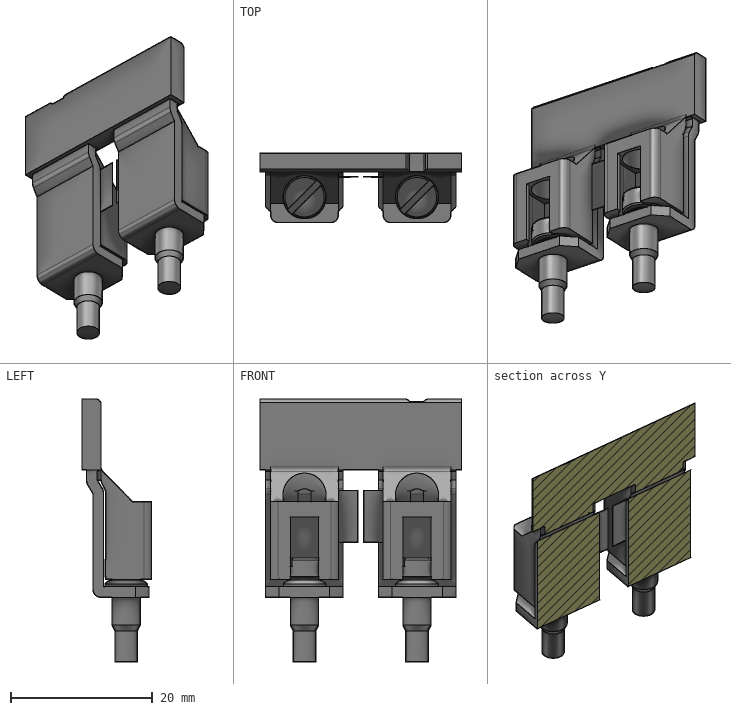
import cadquery as cq
import math


bar_width = 28.5
bar_thickness = 2.7
bar_top = 37.1
bar_bottom = 27.1
bar_chamfer = 0.5
notch_center = 7.9
notch_floor_width = 2.0
notch_depth = 0.37
notch_shoulder_drop = 0.1
notch_shoulder_run = 0.25

terminal_center = 7.95
bore_y = -6.25

bracket_center = 7.98
bracket_width = 11.0
bracket_thickness = 1.52
bracket_upper_y = -0.63
bracket_jog = 0.93
bracket_front_jog_top = 25.67
bracket_front_jog_bottom = 24.1
bracket_bottom = 9.1
bracket_front = -9.5
bracket_corner_chamfer = 1.93
bracket_heel_radius = 1.1
bracket_jog_radius = 1.5
bracket_root = 0.75
bracket_shoulder_reach = 0.37
bracket_shoulder_drop = 0.22
foot_top = bracket_bottom + bracket_thickness

housing_width = 9.57
housing_front = -9.85
housing_back = -3.35
housing_bottom = 11.6
housing_flat_top = 22.6
housing_slope_foot_y = -7.15
housing_slope_top = 27.12
housing_jog_top = 25.4
housing_jog_bottom = 24.08
housing_edge_radius = 1.08
slope_fillet_reach = 0.37
bore_radius = 3.05
chamber_radius = 3.55
window_width = 4.0
window_top = 20.4
web_bottom = 25.6
web_back_width = 6.68

tab_tip_gap = 0.4
tab_bottom = 16.85
tab_top = 24.2
tab_root_thickness = 0.15
tab_tip_thickness = 0.05

tip_radius = 1.6
shank_radius = 2.0
tip_length = 4.38
shank_start = 5.15
flange_radius = 3.0
flange_rim_top = 11.0
flange_shoulder_radius = 2.6
flange_shoulder_z = 11.35
flange_top = 11.55
head_radius = 3.0
head_bottom = 11.8
head_top = 14.6
head_chamfer = 0.22
driver_slot_width = 0.93
driver_slot_depth = 1.2
driver_slot_angle = 45


def box_between(x_min, x_max, y_min, y_max, z_min, z_max):
    size = (x_max - x_min, y_max - y_min, z_max - z_min)
    return cq.Workplane("XY").box(*size, centered=False).translate((x_min, y_min, z_min))


def side_profile(width, center):
    """Workplane whose local axes are Y and Z, extruding along X over the given width."""
    return cq.Workplane("YZ", origin=(center - width / 2, 0, 0))


def make_bar():
    bar = box_between(-bar_width / 2, bar_width / 2, -bar_thickness, 0, bar_bottom, bar_top)
    bar = bar.edges("<Y and >Z").chamfer(bar_chamfer)

    floor_half = notch_floor_width / 2
    notch_floor = bar_top - notch_depth
    shoulder_half = floor_half + notch_depth - notch_shoulder_drop
    shoulder_z = bar_top - notch_shoulder_drop
    mouth_half = shoulder_half + notch_shoulder_run
    notch = (
        cq.Workplane("XZ", origin=(notch_center, 0, 0))
        .polyline([
            (-mouth_half, bar_top),
            (-shoulder_half, shoulder_z),
            (-floor_half, notch_floor),
            (floor_half, notch_floor),
            (shoulder_half, shoulder_z),
            (mouth_half, bar_top),
        ])
        .close()
        .extrude(bar_thickness)
    )
    return bar.cut(notch)


def make_bracket():
    lower_y = bracket_upper_y - bracket_jog
    jog_angle = math.atan2(bracket_jog, bracket_front_jog_top - bracket_front_jog_bottom)
    back_drop = bracket_thickness * math.tan(jog_angle / 2)
    back_jog_top = bracket_front_jog_top - back_drop
    back_jog_bottom = bracket_front_jog_bottom - back_drop
    top = bar_bottom + bracket_root
    upper_front_y = bracket_upper_y - bracket_thickness
    shoulder_y = upper_front_y - bracket_shoulder_reach
    lower_front_y = lower_y - bracket_thickness
    bracket = (
        side_profile(bracket_width, bracket_center)
        .polyline([
            (bracket_upper_y, top),
            (bracket_upper_y, back_jog_top),
            (lower_y, back_jog_bottom),
            (lower_y, bracket_bottom),
            (bracket_front, bracket_bottom),
            (bracket_front, foot_top),
            (lower_front_y, foot_top),
            (lower_front_y, bracket_front_jog_bottom),
            (upper_front_y, bracket_front_jog_top),
            (upper_front_y, bar_bottom - bracket_shoulder_drop),
            (shoulder_y, bar_bottom),
            (shoulder_y, top),
        ])
        .close()
        .extrude(bracket_width)
    )
    bracket = bracket.edges("|Z and <Y").chamfer(bracket_corner_chamfer)

    def bend_edge(y, z):
        return cq.selectors.NearestToPointSelector((bracket_center, y, z))

    bracket = bracket.edges("|X").edges(bend_edge(lower_y, bracket_bottom)).fillet(bracket_heel_radius)
    front_bend = bend_edge(lower_front_y, bracket_front_jog_bottom)
    bracket = bracket.edges("|X").edges(front_bend).fillet(bracket_jog_radius)
    back_bend = bend_edge(bracket_upper_y, back_jog_top)
    return bracket.edges("|X").edges(back_bend).fillet(bracket_jog_radius)


def make_housing():
    slope_run = -bar_thickness - housing_slope_foot_y
    slope_angle = math.atan2(housing_slope_top - housing_flat_top, slope_run)
    fillet_start = (
        -bar_thickness - slope_fillet_reach * math.cos(slope_angle),
        housing_slope_top - slope_fillet_reach * math.sin(slope_angle),
    )
    fillet_end = (-bar_thickness, housing_slope_top + slope_fillet_reach)
    housing = (
        side_profile(housing_width, terminal_center)
        .moveTo(housing_front, housing_bottom)
        .lineTo(housing_front, housing_flat_top)
        .lineTo(housing_slope_foot_y, housing_flat_top)
        .lineTo(*fillet_start)
        .tangentArcPoint(fillet_end, relative=False)
        .lineTo(-bar_thickness, housing_jog_top)
        .lineTo(housing_back, housing_jog_bottom)
        .lineTo(housing_back, housing_bottom)
        .close()
        .extrude(housing_width)
    )
    housing = housing.edges("|Z and <Y").fillet(housing_edge_radius)

    bore = (
        cq.Workplane("XY", origin=(terminal_center, bore_y, housing_bottom))
        .circle(bore_radius)
        .extrude(bar_top - housing_bottom)
    )
    chamber = (
        cq.Workplane("XY", origin=(terminal_center, bore_y, housing_bottom))
        .circle(chamber_radius)
        .extrude(window_top - housing_bottom)
    )
    back_opening = box_between(
        terminal_center - chamber_radius, terminal_center + chamber_radius,
        bore_y, housing_back, housing_bottom, window_top,
    )
    window = box_between(
        terminal_center - window_width / 2, terminal_center + window_width / 2,
        housing_front, bore_y, housing_bottom, window_top,
    )
    return housing.cut(bore).cut(chamber).cut(back_opening).cut(window)


def make_web():
    """Tapered web that joins the top of the housing to the bracket, just below the bar."""
    bracket_face = bracket_upper_y - bracket_thickness
    return (
        cq.Workplane("XY", origin=(terminal_center, 0, web_bottom))
        .polyline([
            (-housing_width / 2, -bar_thickness),
            (housing_width / 2, -bar_thickness),
            (web_back_width / 2, bracket_face),
            (-web_back_width / 2, bracket_face),
        ])
        .close()
        .extrude(bar_bottom - web_bottom)
    )


def make_tab():
    root_x = terminal_center - housing_width / 2
    return (
        cq.Workplane("XY", origin=(0, 0, tab_bottom))
        .polyline([
            (tab_tip_gap, housing_back),
            (root_x, housing_back),
            (root_x, housing_back - tab_root_thickness),
            (tab_tip_gap, housing_back - tab_tip_thickness),
        ])
        .close()
        .extrude(tab_top - tab_bottom)
    )


def make_screw():
    screw = (
        cq.Workplane("XZ")
        .lineTo(tip_radius, 0)
        .lineTo(tip_radius, tip_length)
        .lineTo(shank_radius, shank_start)
        .lineTo(shank_radius, foot_top)
        .lineTo(flange_radius, foot_top)
        .lineTo(flange_radius, flange_rim_top)
        .threePointArc((flange_shoulder_radius, flange_shoulder_z), (shank_radius, flange_top))
        .lineTo(shank_radius, head_bottom)
        .lineTo(head_radius - head_chamfer, head_bottom)
        .lineTo(head_radius, head_bottom + head_chamfer)
        .lineTo(head_radius, head_top - head_chamfer)
        .lineTo(head_radius - head_chamfer, head_top)
        .lineTo(0, head_top)
        .close()
        .revolve(360, (0, 0, 0), (0, 1, 0))
    )
    driver_slot = (
        cq.Workplane("XY", origin=(0, 0, head_top - driver_slot_depth))
        .rect(2 * head_radius, driver_slot_width)
        .extrude(driver_slot_depth)
        .rotate((0, 0, 0), (0, 0, 1), driver_slot_angle)
    )
    return screw.cut(driver_slot)


clamp = make_bracket().union(make_housing()).union(make_web()).union(make_tab())

result = make_bar().union(clamp).union(clamp.mirror("YZ"))
for side in (-1, 1):
    result = result.union(make_screw().translate((side * terminal_center, bore_y, 0)))